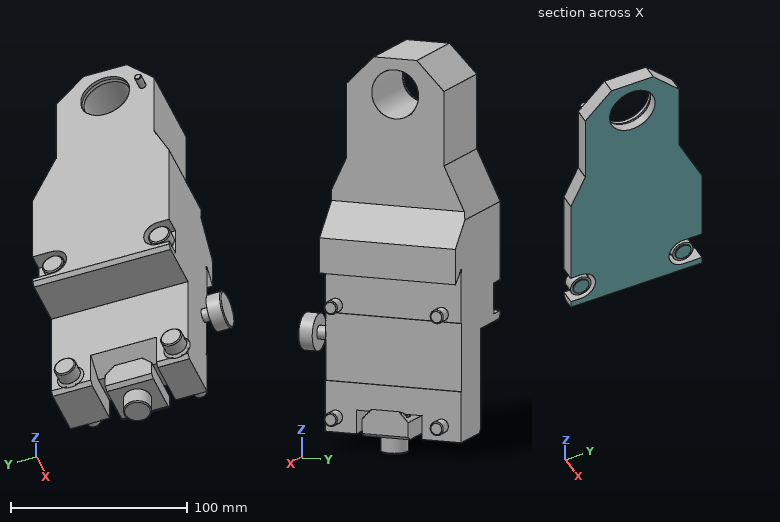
import cadquery as cq
import math

total_height = 228.2
edge_chamfer = 0.7

head_depth = 50.2
hook_tip_x = 68.7
hook_ramp_top_z = 142.6
hook_ramp_bottom_z = 124.5
hook_tip_z = 104.0
hook_root_z = 111.0
mount_face_x = 59.8
relief_face_x = 59.0
hook_relief_z = 109.3
relief_top_z = 79.6
relief_bottom_z = 40.0
body_bottom_z = 10.3
step_x = 29.7
step_z = 70.7
corner_chamfer = 2.3

body_left_y = 44.3
body_right_y = -39.0
head_half_width = 30.0
head_top_half_width = 13.2
head_corner_z = 211.5
neck_z = 168.2
left_shoulder_z = 138.7
right_shoulder_z = 149.0

bore_diameter = 28.5
counterbore_diameter = 29.7
counterbore_depth = 2.0
bore_taper_length = 1.5
bore_z = 207.5
locating_pin_diameter = 4.0
locating_pin_length = 7.8
locating_pin_y = -22.8
locating_pin_chamfer = 0.35

screw_y = 32.5
upper_screw_z = 84.2
lower_screw_z = 19.2
screw_head_diameter = 13.0
screw_flange_diameter = 16.0
screw_flange_length = 1.5
screw_neck_diameter = 10.0
screw_neck_length = 1.4
upper_head_length = 7.5
lower_head_length = 9.8
screw_tip_diameter = 8.0
screw_tip_x = 68.2
pocket_depth = 9.8
pocket_radius = 9.0

knob_x = 54.3
knob_z = 66.5
knob_diameter = 22.0
knob_thickness = 9.0
knob_stem_diameter = 8.0
knob_stem_length = 5.7

bevel_angle = math.radians(35)
notch_width = 40.0
notch_center_y = 0.2
notch_rear_z = 32.6
notch_front_z = 24.2
clamp_half_width = 14.1
clamp_top_half_width = 8.5
clamp_shoulder_z = 20.8
clamp_rear_x = 36.7
clamp_front_x = 65.5
clamp_top_z = 26.7
clamp_slot_rear_x = 57.0
clamp_slot_front_x = 61.8
clamp_slot_z = 22.8
clamp_bevel_length = 2.7
clamp_bevel_height = clamp_bevel_length * math.tan(bevel_angle)
clamp_lip_drop = 1.4
clamp_screw_x = 51.1
clamp_screw_diameter = 16.0


def prism_along_y(points, y_min, y_max):
    """Extrude an XZ outline between two Y positions."""
    return cq.Workplane("XZ", origin=(0, y_max, 0)).polyline(points).close().extrude(y_max - y_min)


def prism_along_x(points, x_min, x_max):
    """Extrude a YZ outline between two X positions."""
    return cq.Workplane("YZ", origin=(x_min, 0, 0)).polyline(points).close().extrude(x_max - x_min)


def rod_along_x(diameter, x_min, x_max, y, z):
    """Round rod parallel to X."""
    return cq.Workplane("YZ", origin=(x_min, y, z)).circle(diameter / 2).extrude(x_max - x_min)


def cone_along_x(start_diameter, end_diameter, x_min, length, y, z):
    """Truncated cone parallel to X."""
    start = cq.Vector(x_min, y, z)
    return cq.Workplane(
        cq.Solid.makeCone(start_diameter / 2, end_diameter / 2, length, start, cq.Vector(1, 0, 0))
    )


def make_body():
    """Stepped, hooked side profile limited to the shouldered outline."""
    side_profile = [
        (0, total_height),
        (head_depth, total_height),
        (head_depth, hook_ramp_top_z),
        (hook_tip_x, hook_ramp_bottom_z),
        (hook_tip_x, hook_tip_z),
        (mount_face_x, hook_root_z),
        (relief_face_x, hook_root_z),
        (relief_face_x, hook_relief_z),
        (mount_face_x, hook_relief_z),
        (mount_face_x, relief_top_z),
        (relief_face_x, relief_top_z),
        (relief_face_x, relief_bottom_z),
        (mount_face_x, relief_bottom_z),
        (mount_face_x, body_bottom_z),
        (step_x + corner_chamfer, body_bottom_z),
        (step_x, body_bottom_z + corner_chamfer),
        (step_x, step_z),
        (corner_chamfer, step_z),
        (0, step_z + corner_chamfer),
    ]
    outline = [
        (body_left_y, body_bottom_z),
        (body_left_y, left_shoulder_z),
        (head_half_width, neck_z),
        (head_half_width, head_corner_z),
        (head_top_half_width, total_height),
        (-head_top_half_width, total_height),
        (-head_half_width, head_corner_z),
        (-head_half_width, neck_z),
        (body_right_y, right_shoulder_z),
        (body_right_y, body_bottom_z),
    ]
    profile = prism_along_y(side_profile, body_right_y, body_left_y)
    return profile.intersect(prism_along_x(outline, 0, hook_tip_x))


def make_bore():
    """Through bore with a shallow counterbore that tapers into it."""
    bore = rod_along_x(bore_diameter, 0, head_depth, 0, bore_z)
    counterbore = rod_along_x(counterbore_diameter, 0, counterbore_depth, 0, bore_z)
    taper = cone_along_x(counterbore_diameter, bore_diameter, counterbore_depth, bore_taper_length, 0, bore_z)
    return bore.union(counterbore).union(taper)


def make_screw_pocket(side, edge_y):
    """Round-ended pocket open to the body side; side is +1 for +Y and -1 for -Y."""
    center_y = side * screw_y
    round_end = rod_along_x(2 * pocket_radius, 0, pocket_depth, center_y, upper_screw_z)
    straight_length = abs(edge_y - center_y)
    straight = cq.Workplane("XY").box(pocket_depth, straight_length, 2 * pocket_radius).translate(
        (pocket_depth / 2, (center_y + edge_y) / 2, upper_screw_z)
    )
    return round_end.union(straight)


def make_screw_tip(y, z):
    """Chamfered screw end standing out of the mounting face."""
    tip = rod_along_x(screw_tip_diameter, step_x, screw_tip_x, y, z)
    return tip.faces(">X").chamfer(edge_chamfer)


def make_upper_screw(y):
    """Screw with a necked head sitting in its pocket."""
    neck_x = pocket_depth - screw_neck_length
    head = rod_along_x(screw_head_diameter, neck_x - upper_head_length, neck_x, y, upper_screw_z)
    head = head.faces("<X").chamfer(edge_chamfer)
    neck = rod_along_x(screw_neck_diameter, neck_x, step_x, y, upper_screw_z)
    return head.union(neck).union(make_screw_tip(y, upper_screw_z))


def make_lower_screw(y):
    """Screw with a head and a conical flange against the thin lower part."""
    head = rod_along_x(screw_head_diameter, step_x - lower_head_length, step_x, y, lower_screw_z)
    head = head.faces("<X").chamfer(edge_chamfer)
    flange_x = step_x - screw_flange_length
    flange = cone_along_x(
        screw_head_diameter, screw_flange_diameter, flange_x, screw_flange_length, y, lower_screw_z
    )
    return head.union(flange).union(make_screw_tip(y, lower_screw_z))


def make_locating_pin():
    """Small pin on the rear face beside the bore."""
    pin = rod_along_x(locating_pin_diameter, -locating_pin_length, head_depth / 2, locating_pin_y, bore_z)
    return pin.faces("<X").chamfer(locating_pin_chamfer)


def make_knob():
    """Knob on a stem projecting from the -Y side."""
    stem_plane = cq.Workplane("XZ", origin=(knob_x, body_right_y, knob_z))
    stem = stem_plane.circle(knob_stem_diameter / 2).extrude(knob_stem_length)
    knob = stem_plane.workplane(offset=knob_stem_length).circle(knob_diameter / 2).extrude(knob_thickness)
    return stem.union(knob.faces("<Y").chamfer(edge_chamfer))


def make_notch():
    """Bottom notch whose ceiling slopes down towards +X and then runs level."""
    slope_length = (notch_rear_z - notch_front_z) / math.tan(bevel_angle)
    notch_profile = [
        (step_x, 0),
        (step_x, notch_rear_z),
        (step_x + slope_length, notch_front_z),
        (mount_face_x, notch_front_z),
        (mount_face_x, 0),
    ]
    half_width = notch_width / 2
    return prism_along_y(notch_profile, notch_center_y - half_width, notch_center_y + half_width)


def make_clamp():
    """Clamp block with an upturned front lip, and the screw below it."""
    clamp_profile = [
        (clamp_rear_x, body_bottom_z + clamp_bevel_height),
        (clamp_rear_x, clamp_top_z),
        (clamp_slot_rear_x, clamp_top_z),
        (clamp_slot_rear_x, clamp_slot_z),
        (clamp_slot_front_x, clamp_slot_z),
        (clamp_slot_front_x, clamp_top_z - clamp_lip_drop),
        (clamp_front_x, clamp_top_z),
        (clamp_front_x, body_bottom_z + clamp_bevel_height),
        (clamp_front_x - clamp_bevel_length, body_bottom_z),
        (clamp_rear_x + clamp_bevel_length, body_bottom_z),
    ]
    clamp_outline = [
        (clamp_half_width, body_bottom_z),
        (clamp_half_width, clamp_shoulder_z),
        (clamp_top_half_width, clamp_top_z),
        (-clamp_top_half_width, clamp_top_z),
        (-clamp_half_width, clamp_shoulder_z),
        (-clamp_half_width, body_bottom_z),
    ]
    block = prism_along_y(clamp_profile, -clamp_half_width, clamp_half_width)
    block = block.intersect(prism_along_x(clamp_outline, clamp_rear_x, clamp_front_x))
    screw = cq.Workplane("XY").center(clamp_screw_x, 0).circle(clamp_screw_diameter / 2).extrude(body_bottom_z)
    return block.union(screw.faces("<Z").chamfer(edge_chamfer))


result = make_body().cut(make_bore()).cut(make_notch())
for side, edge_y in ((1, body_left_y), (-1, body_right_y)):
    result = result.cut(make_screw_pocket(side, edge_y))
    result = result.union(make_upper_screw(side * screw_y))
    result = result.union(make_lower_screw(side * screw_y))
result = result.union(make_locating_pin()).union(make_knob()).union(make_clamp())